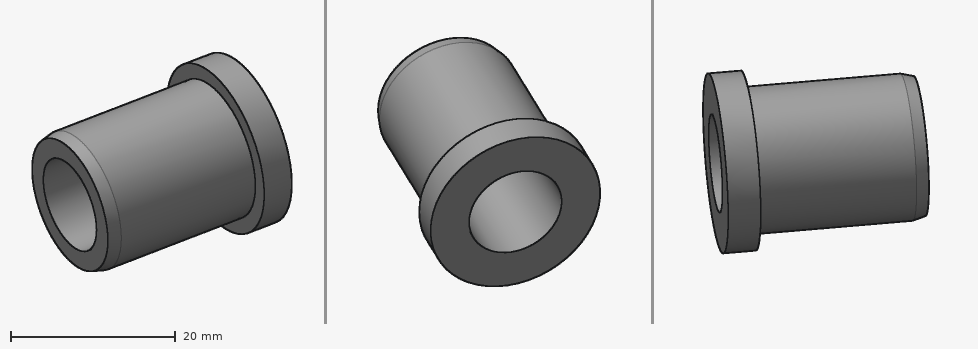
import cadquery as cq
import math

length = 25.0
flange_diameter = 22.0
flange_thickness = 4.0
body_diameter = 18.0
bore_diameter = 12.0
lead_in_length = 1.62
lead_in_angle = 15.0

body_radius = body_diameter / 2
flange_radius = flange_diameter / 2
bore_radius = bore_diameter / 2
tip_radius = body_radius - lead_in_length * math.tan(math.radians(lead_in_angle))

tip_y = -length / 2
flange_back_y = length / 2
flange_front_y = flange_back_y - flange_thickness

half_section = [
    (bore_radius, tip_y),
    (tip_radius, tip_y),
    (body_radius, tip_y + lead_in_length),
    (body_radius, flange_front_y),
    (flange_radius, flange_front_y),
    (flange_radius, flange_back_y),
    (bore_radius, flange_back_y),
]

result = cq.Workplane("XY").polyline(half_section).close().revolve(360, (0, 0, 0), (0, 1, 0))